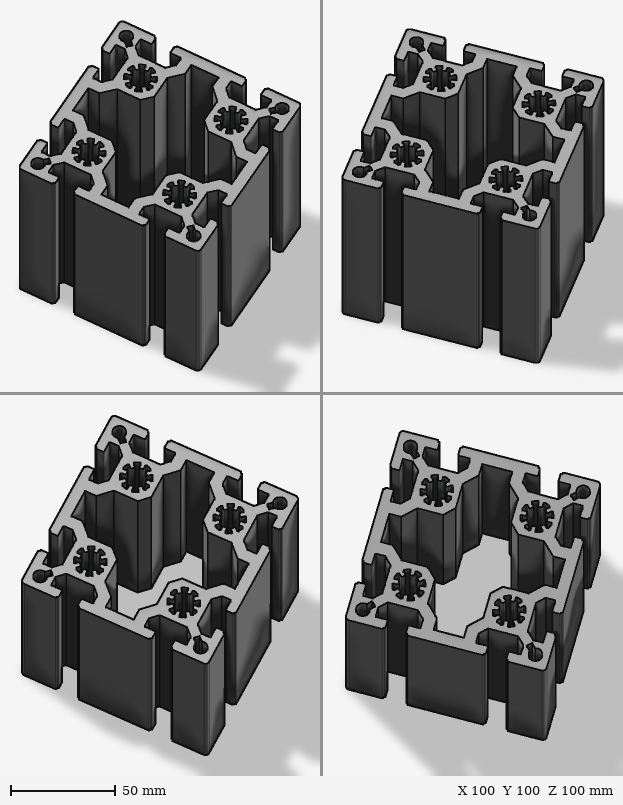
import cadquery as cq

side = 100.0
length = 100.0
half = side / 2
core_offset = side / 4
corner_radius = 2.0

mouth_width = 10.2
mouth_relief = 0.9
lip_thickness = 5.1
slot_edge_radius = 0.4
core_width = 22.4
slot_bevel = 3.8
slot_depth = core_offset - core_width / 2

outer_wall = 6.2
arm_width = 15.0
arm_straight = 6.0
core_bevel = 4.9

bore_radius = 8.0
tooth_tip_radius = 5.1
tooth_width = 2.3
tooth_count = 8
tooth_edge_radius = 0.6

keyhole_inset = 7.0
keyhole_diameter = 6.6
key_width = 3.0
key_angle = 45
key_reach = 6.0

tolerance = 0.01
quarter_turns = (0, 90, 180, 270)


def extrude_outline(points):
    return cq.Workplane("XY").polyline(points).close().extrude(length)


def turned(solid, angle):
    return solid.rotate((0, 0, 0), (0, 0, 1), angle)


def is_rounded_slot_edge(edge):
    """True for the slot edges between the lip relief and the cavity ceiling."""
    y = edge.Center().y
    return half - lip_thickness - tolerance < y < half - tolerance


def is_lip_edge(edge):
    """True for Z edges on the outer faces, apart from the four bar corners."""
    center = edge.Center()
    near, far = sorted((abs(center.x), abs(center.y)))
    return far > half - tolerance and near < half - tolerance


def is_bar_corner(edge):
    """True for the four outer corner edges of the bar."""
    center = edge.Center()
    return min(abs(center.x), abs(center.y)) > half - tolerance


def make_slot(center_x):
    """T-slot opening through the +Y face."""
    mouth = mouth_width / 2
    relief = mouth + mouth_relief
    cavity = core_width / 2
    floor = half - slot_depth
    lip = half - lip_thickness
    right_side = [
        (relief, half),
        (relief, half - mouth_relief),
        (mouth, half - mouth_relief),
        (mouth, lip),
        (cavity, lip),
        (cavity, floor + slot_bevel),
        (cavity - slot_bevel, floor),
    ]
    left_side = [(-x, y) for x, y in reversed(right_side)]
    slot = extrude_outline(right_side + left_side)
    inner_corners = slot.edges("|Z").filter(is_rounded_slot_edge)
    return inner_corners.fillet(slot_edge_radius).translate((center_x, 0, 0))


def make_void():
    """Four-armed hollow whose inner corners follow the bevelled cores."""
    arm = arm_width / 2
    arm_end = half - outer_wall
    core_face = core_offset - core_width / 2
    widening = core_face - arm
    flank = [
        (arm, arm_end),
        (arm, arm_end - arm_straight),
        (core_face, arm_end - arm_straight - widening),
        (core_face, core_face + core_bevel),
    ]
    quadrant = [(y, x) for x, y in flank] + flank[::-1]
    outline = []
    for _ in quarter_turns:
        outline += quadrant
        quadrant = [(-y, x) for x, y in quadrant]
    return extrude_outline(outline)


def make_bore():
    """Round bore with square teeth pointing inward, centred on a core."""
    bore = cq.Workplane("XY").circle(bore_radius).extrude(length)
    tooth_length = bore_radius
    tooth = (
        cq.Workplane("XY")
        .center(tooth_tip_radius + tooth_length / 2, 0)
        .rect(tooth_length, tooth_width)
        .extrude(length)
    )
    for index in range(tooth_count):
        bore = bore.cut(turned(tooth, index * 360 / tooth_count))
    bore = bore.edges("|Z").fillet(tooth_edge_radius)
    return bore.translate((core_offset, core_offset, 0))


def make_keyhole():
    """Round hole with a square-ended key pointing toward the middle of the bar."""
    hole = cq.Workplane("XY").circle(keyhole_diameter / 2).extrude(length)
    key = cq.Workplane("XY").center(-key_reach / 2, 0).rect(key_reach, key_width).extrude(length)
    center = half - keyhole_inset
    return hole.union(turned(key, key_angle)).translate((center, center, 0))


result = cq.Workplane("XY").rect(side, side).extrude(length)

slots = [make_slot(-core_offset), make_slot(core_offset)]
for angle in quarter_turns:
    for slot in slots:
        result = result.cut(turned(slot, angle))
result = result.edges("|Z").filter(is_lip_edge).fillet(slot_edge_radius)
result = result.edges("|Z").filter(is_bar_corner).fillet(corner_radius)

result = result.cut(make_void())
for angle in quarter_turns:
    for cutter in (make_bore(), make_keyhole()):
        result = result.cut(turned(cutter, angle))